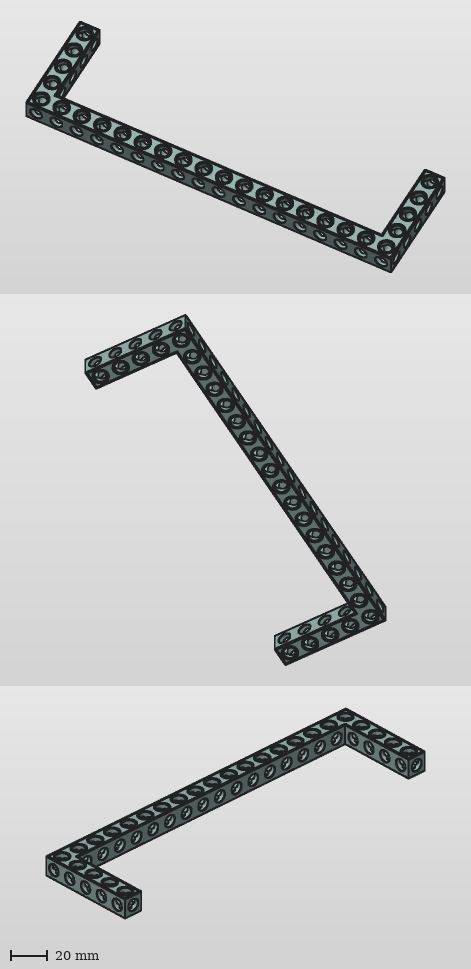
import cadquery as cq
pitch = 12.5
back_hole_count = 18
leg_hole_count = 5
hole_diameter = 7.0
collar_diameter = 9.2
chamfer = 0.3
lip_width = 1.0
recess_depth = 0.2

length_x = back_hole_count * pitch
depth_y = leg_hole_count * pitch
height_z = pitch
mid_z = height_z / 2

back_centres = [(i + 0.5) * pitch for i in range(back_hole_count)]
leg_centres = [(i + 0.5) * pitch for i in range(leg_hole_count)]
left_leg_x = back_centres[0]
right_leg_x = back_centres[-1]
back_y = leg_centres[0]
vertical_centres = [(x, back_y) for x in back_centres]
vertical_centres += [(x, y) for x in (left_leg_x, right_leg_x) for y in leg_centres[1:]]


def u_prism(inset, bottom_z, height):
    """U-shaped prism whose walls lie the given inset inside the frame outline."""
    near = inset
    far = pitch - inset
    end_y = depth_y - inset
    outline = [
        (near, near),
        (length_x - near, near),
        (length_x - near, end_y),
        (length_x - far, end_y),
        (length_x - far, far),
        (far, far),
        (far, end_y),
        (near, end_y),
    ]
    return cq.Workplane("XY", origin=(0, 0, bottom_z)).polyline(outline).close().extrude(height)


def face_recess(bottom_z):
    """Shallow recess inside the lip, sparing a collar around each vertical hole."""
    collars = (
        cq.Workplane("XY", origin=(0, 0, bottom_z))
        .pushPoints(vertical_centres)
        .circle(collar_diameter / 2)
        .extrude(recess_depth)
    )
    return u_prism(lip_width, bottom_z, recess_depth).cut(collars)


def frame_body():
    """Square-section frame with chamfered edges and recessed top and bottom faces."""
    body = u_prism(0, 0, height_z).edges().chamfer(chamfer)
    return body.cut(face_recess(height_z - recess_depth)).cut(face_recess(0))


def hole_cutter(start, direction, length):
    """Cutter for a hole along the direction, widened by a chamfer at both ends."""
    radius = hole_diameter / 2
    mouth_radius = radius + chamfer
    start = cq.Vector(*start)
    direction = cq.Vector(*direction)
    end = start + direction * length
    return [
        cq.Solid.makeCylinder(radius, length, start, direction),
        cq.Solid.makeCone(mouth_radius, radius, chamfer, start, direction),
        cq.Solid.makeCone(mouth_radius, radius, chamfer, end, direction * -1),
    ]


def vertical_holes():
    """Holes along Z through the back beam and the legs."""
    cutters = []
    for x, y in vertical_centres:
        cutters += hole_cutter((x, y, 0), (0, 0, 1), height_z)
    return cutters


def holes_along_y():
    """Holes through the back beam; the outer two run lengthwise through the legs."""
    cutters = []
    for x in back_centres:
        run = depth_y if x in (left_leg_x, right_leg_x) else pitch
        cutters += hole_cutter((x, 0, mid_z), (0, 1, 0), run)
    return cutters


def holes_along_x():
    """Holes across both legs; the first runs lengthwise through the back beam."""
    cutters = hole_cutter((0, back_y, mid_z), (1, 0, 0), length_x)
    for y in leg_centres[1:]:
        for x in (0, length_x - pitch):
            cutters += hole_cutter((x, y, mid_z), (1, 0, 0), pitch)
    return cutters


hole_cutters = vertical_holes() + holes_along_y() + holes_along_x()
result = cq.Workplane("XY").newObject([frame_body().val().cut(*hole_cutters)])